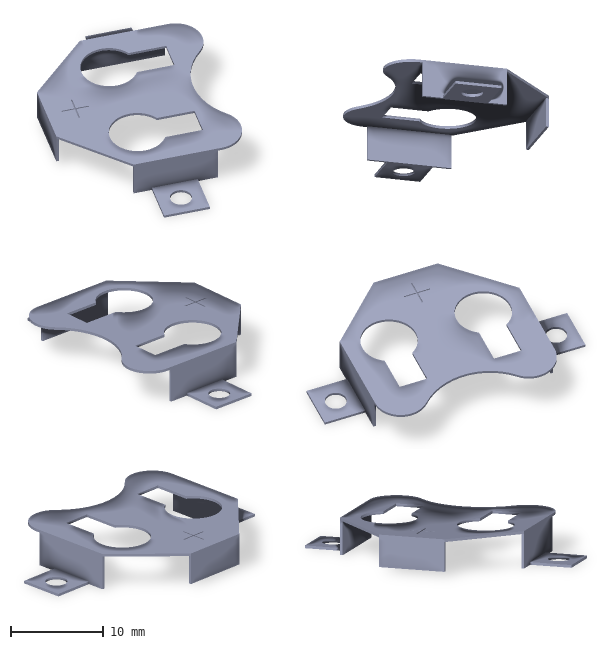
import cadquery as cq

overall_width = 30.5
overall_depth = 19.7
overall_height = 4.15
sheet = 0.3

half_width = 10.52
front_half_width = 3.75
lobe_radius = 3.02
valley_y = 16.5

side_wall_front = half_width - front_half_width
side_wall_back = 16.25
front_wall_height = 3.6

tab_front = 8.8
tab_back = 13.97
tab_hole_x = 12.9
tab_hole_diameter = 2.38

keyhole_x = 5.52
keyhole_y = 8.63
keyhole_radius = 3.1
keyhole_slot_width = 3.23
keyhole_slot_end = 15.52

plus_y = 3.23
plus_length = 3.05
plus_width = 0.15
plus_depth = 0.1


def block(x_min, x_max, y_min, y_max, z_min, z_max):
    """Rectangular block between two opposite corners."""
    size = (x_max - x_min, y_max - y_min, z_max - z_min)
    return cq.Workplane("XY").box(*size, centered=False).translate((x_min, y_min, z_min))


def make_plate():
    """Top plate with two rear lobes joined tangentially by a concave arc."""
    lobe_x = half_width - lobe_radius
    lobe_y = overall_depth - lobe_radius

    rise = valley_y - lobe_y
    valley_radius = (lobe_x**2 + rise**2 - lobe_radius**2) / (2 * (lobe_radius - rise))
    valley_center_y = valley_y + valley_radius
    share = lobe_radius / (lobe_radius + valley_radius)
    join_x = lobe_x * (1 - share)
    join_y = lobe_y + share * (valley_center_y - lobe_y)

    return (
        cq.Workplane("XY", origin=(0, 0, overall_height - sheet))
        .moveTo(-front_half_width, 0)
        .lineTo(front_half_width, 0)
        .lineTo(half_width, side_wall_front)
        .lineTo(half_width, lobe_y)
        .threePointArc((lobe_x, overall_depth), (join_x, join_y))
        .threePointArc((0, valley_y), (-join_x, join_y))
        .threePointArc((-lobe_x, overall_depth), (-half_width, lobe_y))
        .lineTo(-half_width, side_wall_front)
        .close()
        .extrude(sheet)
    )


def make_keyhole(x):
    """Cutter for a round opening with a straight slot toward the rear."""
    circle = cq.Workplane("XY").center(x, keyhole_y).circle(keyhole_radius).extrude(overall_height)
    half_slot = keyhole_slot_width / 2
    slot = block(x - half_slot, x + half_slot, keyhole_y, keyhole_slot_end, 0, overall_height)
    return circle.union(slot).translate((0, 0, overall_height - sheet))


def make_right_side():
    """Right side wall with its outward solder tab."""
    wall = block(
        half_width - sheet, half_width, side_wall_front, side_wall_back, 0, overall_height
    )
    tab = block(half_width - sheet, overall_width / 2, tab_front, tab_back, 0, sheet)
    hole = (
        cq.Workplane("XY")
        .center(tab_hole_x, (tab_front + tab_back) / 2)
        .circle(tab_hole_diameter / 2)
        .extrude(sheet)
    )
    return wall.union(tab).cut(hole)


def make_plus():
    """Cutter for the plus sign engraved in the top face."""
    bar = cq.Workplane("XY").box(plus_length, plus_width, 2 * plus_depth)
    upright = bar.rotate((0, 0, 0), (0, 0, 1), 90)
    return bar.union(upright).translate((0, plus_y, overall_height))


front_wall = block(
    -front_half_width, front_half_width, 0, sheet, overall_height - front_wall_height, overall_height
)
right_side = make_right_side()

result = make_plate().union(front_wall).union(right_side).union(right_side.mirror("YZ"))
for keyhole_center in (-keyhole_x, keyhole_x):
    result = result.cut(make_keyhole(keyhole_center))
result = result.cut(make_plus())